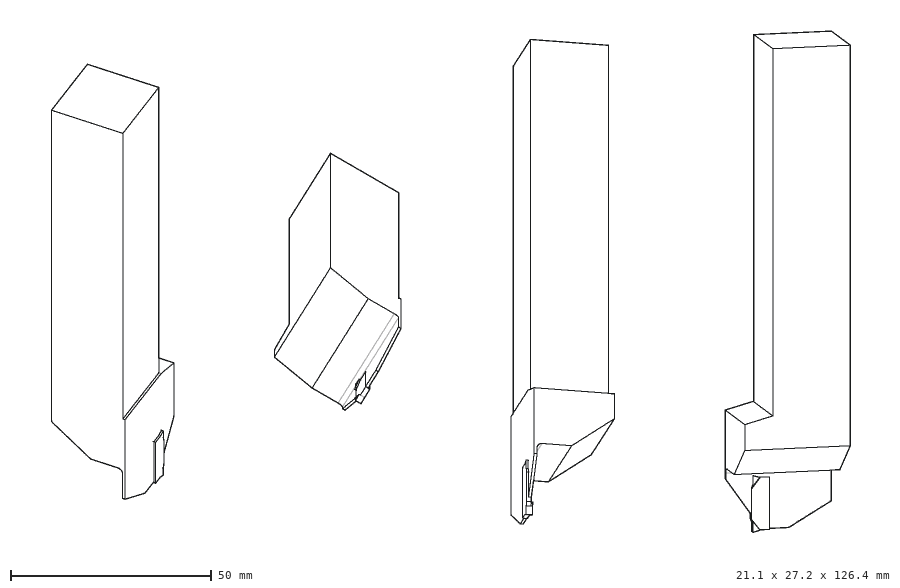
import cadquery as cq

total_height = 126.4
shank_size = 20.0

head_right_x = 20.6
head_depth = 27.2
head_step_z = 33.1
head_back_z = 31.2
bevel_top_z = 24.6
head_bottom_z = 16.5
bevel_end_x = 11.0

blade_left_x = 19.8
blade_bottom_z = 0.8
blade_root_radius = 1.3
blade_front_z = 7.1
blade_front_bottom_y = 11.0
blade_back_z = 13.8
blade_back_bottom_y = 18.0

insert_right_x = 21.1
insert_height = 14.4
insert_front_y = 15.9
insert_back_y = 20.6
tip_y = 20.2
tip_start_y = 18.5
tip_rise = 0.5
tip_flank_length = 2.3
tip_length = 3.3
tip_land_height = 0.4


def extrude_along_x(points, start_x, end_x):
    """Extrude a closed outline of (Y, Z) points between two X planes."""
    return cq.Workplane("YZ", origin=(start_x, 0, 0)).polyline(points).close().extrude(end_x - start_x)


def make_width_profile():
    """Shank, bevelled head and blade outline in XZ, extruded over the full depth."""
    return (
        cq.Workplane("XZ")
        .moveTo(0, total_height)
        .lineTo(shank_size, total_height)
        .lineTo(shank_size, head_step_z)
        .lineTo(head_right_x, head_step_z)
        .lineTo(head_right_x, blade_bottom_z)
        .lineTo(blade_left_x, blade_bottom_z)
        .lineTo(blade_left_x, head_bottom_z - blade_root_radius)
        .radiusArc((blade_left_x - blade_root_radius, head_bottom_z), -blade_root_radius)
        .lineTo(bevel_end_x, head_bottom_z)
        .lineTo(0, bevel_top_z)
        .close()
        .extrude(-head_depth)
    )


def make_depth_profile():
    """Shank, projecting head and tapered blade outline in YZ."""
    outline = [
        (0, total_height),
        (shank_size, total_height),
        (shank_size, head_step_z),
        (head_depth, head_back_z),
        (head_depth, blade_back_z),
        (blade_back_bottom_y, blade_bottom_z),
        (blade_front_bottom_y, blade_bottom_z),
        (0, blade_front_z),
    ]
    return extrude_along_x(outline, 0, head_right_x)


def make_insert():
    """Flat insert with a raised land at its upper and lower cutting tips."""
    lower_half = [
        (insert_front_y, tip_rise),
        (tip_start_y, tip_rise),
        (tip_y, 0),
        (tip_y, tip_flank_length),
        (insert_back_y, tip_length),
    ]
    upper_half = [(y, insert_height - z) for y, z in reversed(lower_half)]
    insert = extrude_along_x(lower_half + upper_half, blade_left_x, insert_right_x)

    lower_land = extrude_along_x(lower_half[1:], blade_left_x - tip_land_height, blade_left_x)
    upper_land = extrude_along_x(upper_half[:-1], blade_left_x - tip_land_height, blade_left_x)
    return insert.union(lower_land).union(upper_land)


def make_holder(insert):
    """Holder bounded by both outlines, with a seat matching the insert."""
    return make_width_profile().intersect(make_depth_profile()).cut(insert)


cutting_insert = make_insert()
holder = make_holder(cutting_insert)

result = cq.Compound.makeCompound([holder.val(), cutting_insert.val()])